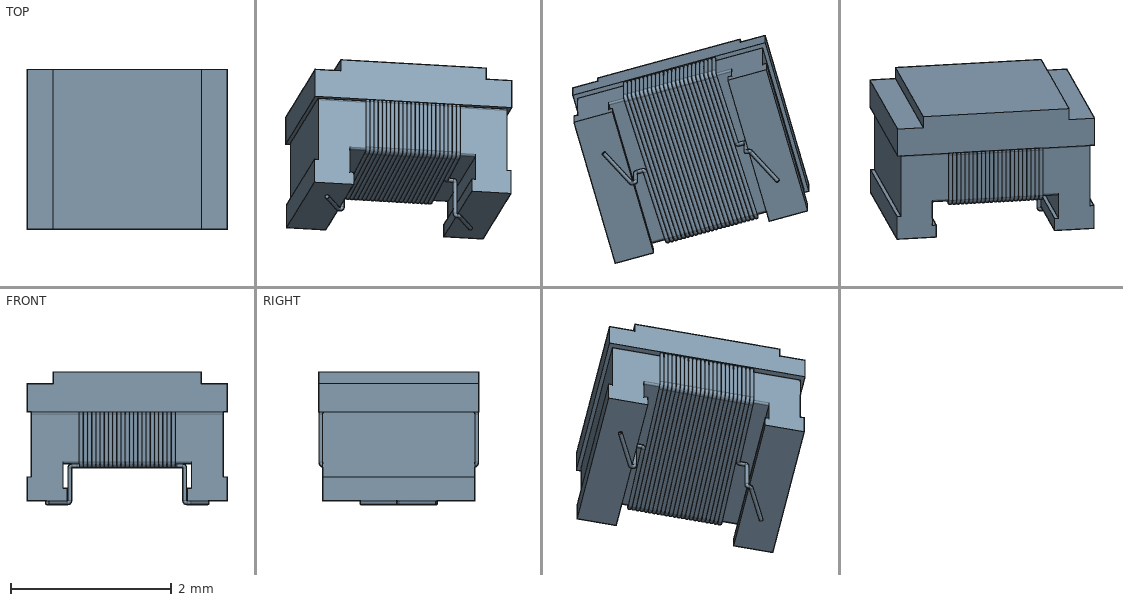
import cadquery as cq
import math

length = 2.5
width = 2.0
height = 1.66

cap_bottom = 1.16
pad_length = 1.85
pad_height = 0.145

core_length = 2.4
core_width = 1.9
core_edge_radius = 0.025
arch_top = 0.51
arch_length = 1.6
foot_top = 0.35
foot_gap = 1.5
foot_lip_top = 0.208

wire_diameter = 0.05
wire_radius = wire_diameter / 2
overlap = 0.0012
turn_count = 23
coil_length = 1.2
pitch = (coil_length - wire_diameter) / (turn_count - 1)
coil_bend = core_edge_radius + wire_radius
leg_y = core_width / 2 + wire_radius - overlap
run_z = arch_top - wire_radius + overlap
crown_z = cap_bottom + wire_radius - overlap
crown_end_y = leg_y - 2 * coil_bend

lead_x = 0.718
lead_bend = 0.028
lead_z = wire_radius
lead_elbow_x = lead_x + wire_diameter
lead_end_x = 1.0
lead_end_y = 0.472
core_bottom = wire_diameter - overlap


def block(x_size, y_size, bottom, top):
    """Box centred on the Z axis between two heights."""
    box = cq.Workplane("XY").box(x_size, y_size, top - bottom, centered=(True, True, False))
    return box.translate((0, 0, bottom))


def make_cap():
    plate = block(length, width, cap_bottom, height - pad_height)
    pad = block(pad_length, width, cap_bottom, height)
    return plate.union(pad)


def make_core():
    bridge = block(core_length, core_width, core_bottom, cap_bottom)
    feet = block(length, core_width, core_bottom, foot_top)
    arch = block(arch_length, core_width, foot_lip_top, arch_top)
    gap = block(foot_gap, core_width, core_bottom, arch_top)
    core = bridge.union(feet).cut(arch).cut(gap)
    for edge_z in (cap_bottom, arch_top):
        for edge_y in (-core_width / 2, core_width / 2):
            core = core.edges(cq.selectors.NearestToPointSelector((0, edge_y, edge_z)))
            core = core.fillet(core_edge_radius)
    return core


def bent_wire(points, bend_radii):
    """Round wire along a polyline, with one bend radius for each inner corner."""
    corners = [cq.Vector(*point) for point in points]
    edges = []
    start = corners[0]
    for before, corner, after, radius in zip(corners, corners[1:], corners[2:], bend_radii):
        back = (before - corner).normalized()
        ahead = (after - corner).normalized()
        half_angle = back.getAngle(ahead) / 2
        setback = radius / math.tan(half_angle)
        to_middle = radius / math.sin(half_angle) - radius
        arc_start = corner + back * setback
        arc_middle = corner + (back + ahead).normalized() * to_middle
        arc_end = corner + ahead * setback
        edges.append(cq.Edge.makeLine(start, arc_start))
        edges.append(cq.Edge.makeThreePointArc(arc_start, arc_middle, arc_end))
        start = arc_end
    edges.append(cq.Edge.makeLine(start, corners[-1]))
    path = cq.Workplane(cq.Wire.assembleEdges(edges))
    profile = cq.Plane(origin=corners[0], normal=corners[1] - corners[0])
    return cq.Workplane(profile).circle(wire_radius).sweep(path)


def make_turn(front_x):
    """Front leg, slanted run under the core, and back leg one pitch further along.

    Both legs bend over the top of the core and end inside the cap, which hides the rest.
    """
    back_x = front_x + pitch
    points = [
        (front_x, -crown_end_y, crown_z),
        (front_x, -leg_y, crown_z),
        (front_x, -leg_y, run_z),
        (back_x, leg_y, run_z),
        (back_x, leg_y, crown_z),
        (back_x, crown_end_y, crown_z),
    ]
    return bent_wire(points, [coil_bend] * 4)


def make_lead():
    """Last front leg: half a run, then out, down, and diagonally under the +X foot."""
    front_x = (coil_length - wire_diameter) / 2
    points = [
        (front_x, -crown_end_y, crown_z),
        (front_x, -leg_y, crown_z),
        (front_x, -leg_y, run_z),
        (front_x + pitch / 2, 0, run_z),
        (lead_x, 0, run_z),
        (lead_x, 0, lead_z),
        (lead_elbow_x, 0, lead_z),
        (lead_end_x, lead_end_y, lead_z),
    ]
    return bent_wire(points, [coil_bend] * 2 + [lead_bend] * 4)


first_turn_x = (wire_diameter - coil_length) / 2
wires = [make_turn(first_turn_x + turn * pitch) for turn in range(turn_count - 1)]

lead = make_lead()
wires += [lead, lead.rotate((0, 0, 0), (0, 0, 1), 180)]

body = make_cap().union(make_core()).val()
result = cq.Workplane(body.fuse(*[wire.val() for wire in wires]))